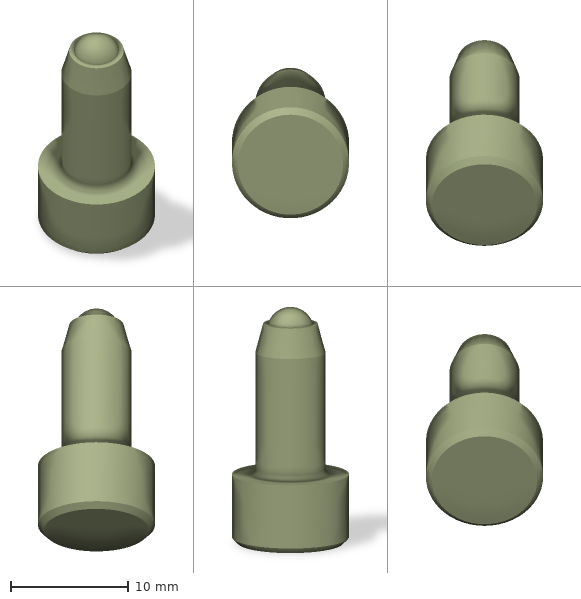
import cadquery as cq
import math

total_length = 20.5

head_diameter = 10.0
head_height = 6.0
head_chamfer = 0.5

shank_diameter = 6.0
root_fillet = 0.5
taper_length = 2.5
taper_angle = 15.0

ball_diameter = 4.0
ball_protrusion = 1.4

head_radius = head_diameter / 2
shank_radius = shank_diameter / 2
ball_radius = ball_diameter / 2
shank_end_z = total_length - ball_protrusion
taper_start_z = shank_end_z - taper_length
taper_end_radius = shank_radius - taper_length * math.tan(math.radians(taper_angle))
ball_center_z = total_length - ball_radius


def make_body():
    """Turned head and shank, revolved about Z, with the head bottom at Z = 0."""
    fillet_center_r = shank_radius + root_fillet
    fillet_center_z = head_height + root_fillet
    fillet_mid_offset = root_fillet * math.sqrt(0.5)
    profile = (
        cq.Workplane("XZ")
        .moveTo(0, 0)
        .lineTo(head_radius - head_chamfer, 0)
        .lineTo(head_radius, head_chamfer)
        .lineTo(head_radius, head_height)
        .lineTo(fillet_center_r, head_height)
        .threePointArc(
            (fillet_center_r - fillet_mid_offset, fillet_center_z - fillet_mid_offset),
            (shank_radius, fillet_center_z),
        )
        .lineTo(shank_radius, taper_start_z)
        .lineTo(taper_end_radius, shank_end_z)
        .lineTo(0, shank_end_z)
        .close()
    )
    return profile.revolve(360, (0, 0, 0), (0, 1, 0))


def make_ball():
    """Ball seated in the shank end, standing proud of its flat face."""
    return cq.Workplane("XY").sphere(ball_radius).translate((0, 0, ball_center_z))


result = make_body().union(make_ball())